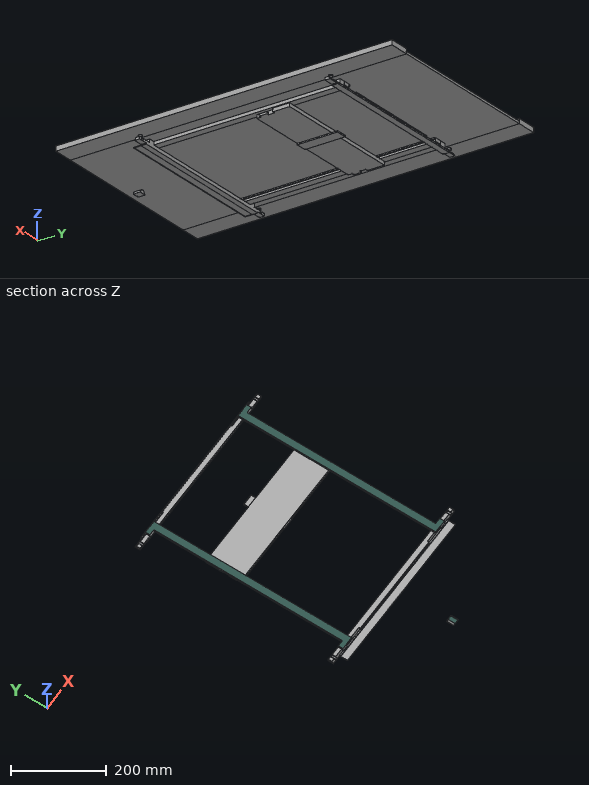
import cadquery as cq

board_width = 509.12
board_length = 863.6
total_height = 32.59

strip_width = 52.0
strip_thickness = 12.7
panel_thickness = 6.35
panel_width = board_width - 2 * strip_width
board_bottom = -strip_thickness

rail_bottom = -20.7
bar_bottom = -27.0
base_bottom = -29.5

rail_inner_x = 152.0
rail_outer_x = 173.0
rail_half_length = 251.0
rail_end_slant = 0.7
rail_lip_width = 3.0
rail_lip_thickness = 3.0

bar_half_length = 224.0
bar_inner_y = 238.0
bar_outer_y = 251.0
bar_bevel = 3.6
bar_middle_left = -124.0
bar_middle_right = 130.0
bar_lip = 2.5
bar_lip_height = 4.0
base_half_length = 200.0

block_inner_x = rail_outer_x
block_outer_x = 188.0

bumper_x = 212.5
bumper_y = (bar_inner_y + bar_outer_y) / 2
bumper_diameter = 9.0
bumper_height = 3.0
notch_width = 5.5
notch_depth = 3.0

flange_front_y = -270.5
flange_thickness = 1.5

housing_back_y = 108.5
housing_step_y = 65.0
housing_front_y = 20.0
housing_back_half_width = rail_outer_x - 3.0
housing_front_half_width = housing_back_half_width - 6.0
housing_boss_y = (30.0, 50.0)
housing_boss_height = 5.0

plate_left = -8.8
plate_right = 19.0
plate_back_y = 123.5

stop_back_y = -390.5
stop_top_front_y = -411.0
stop_bottom_front_y = -408.0
stop_top_width = 6.0
stop_bottom_width = 18.0


def box(x_range, y_range, z_range):
    """Box between two limits along each axis, given in either order."""
    x_min, x_max = sorted(x_range)
    y_min, y_max = sorted(y_range)
    z_min, z_max = sorted(z_range)
    size = (x_max - x_min, y_max - y_min, z_max - z_min)
    return cq.Workplane("XY").box(*size, centered=False).translate((x_min, y_min, z_min))


def make_panel():
    """Thin middle panel with the tapered stop under its front end."""
    half_length = board_length / 2
    panel_top = board_bottom + panel_thickness
    panel = box(
        (-panel_width / 2, panel_width / 2),
        (-half_length, half_length),
        (board_bottom, panel_top),
    )
    top_length = stop_back_y - stop_top_front_y
    bottom_length = stop_back_y - stop_bottom_front_y
    stop = (
        cq.Workplane("XY", origin=(0, 0, rail_bottom))
        .center(0, stop_back_y - bottom_length / 2)
        .rect(stop_bottom_width, bottom_length)
        .workplane(offset=board_bottom - rail_bottom)
        .center(0, (bottom_length - top_length) / 2)
        .rect(stop_top_width, top_length)
        .loft(ruled=True)
    )
    return panel.union(stop)


def make_strip(side):
    """Thick side strip with a round bumper above each end of the crossbars."""
    strip = box(
        (side * panel_width / 2, side * board_width / 2),
        (-board_length / 2, board_length / 2),
        (board_bottom, 0),
    )
    bumpers = (
        cq.Workplane("XY", origin=(0, 0, board_bottom))
        .pushPoints([(side * bumper_x, -bumper_y), (side * bumper_x, bumper_y)])
        .circle(bumper_diameter / 2)
        .extrude(-bumper_height)
    )
    return strip.union(bumpers)


def make_rail(side):
    """Lengthwise rail with slanted ends and a lip along its inner top edge."""
    bottom_half_length = rail_half_length - rail_end_slant
    outline = [
        (-rail_half_length, board_bottom),
        (rail_half_length, board_bottom),
        (bottom_half_length, rail_bottom),
        (-bottom_half_length, rail_bottom),
    ]
    width = rail_outer_x - rail_inner_x - rail_lip_width
    rail = cq.Workplane("YZ").polyline(outline).close().extrude(side * width)
    rail = rail.translate((side * (rail_inner_x + rail_lip_width), 0, 0))
    lip = box(
        (side * rail_inner_x, side * (rail_inner_x + rail_lip_width)),
        (-bottom_half_length, bottom_half_length),
        (board_bottom - rail_lip_thickness, board_bottom),
    )
    return rail.union(lip)


def make_crossbar(end):
    """Crossbar with bevelled arms, a square middle, a base, corner blocks and end notches."""
    arm_outline = [
        (end * bar_inner_y, rail_bottom),
        (end * (bar_outer_y - bar_bevel), rail_bottom),
        (end * bar_outer_y, bar_bottom),
        (end * bar_inner_y, bar_bottom),
    ]
    bar = (
        cq.Workplane("YZ").polyline(arm_outline).close()
        .extrude(bar_half_length, both=True)
    )
    bar_depth = (end * bar_inner_y, end * bar_outer_y)
    bar = bar.union(box((bar_middle_left, bar_middle_right), bar_depth, (rail_bottom, bar_bottom)))
    base_depth = (end * bar_inner_y, end * (bar_outer_y + bar_lip))
    base_top = base_bottom + bar_lip_height
    bar = bar.union(box((-base_half_length, base_half_length), base_depth, (base_bottom, base_top)))
    for side in (-1, 1):
        block_span = (side * block_inner_x, side * block_outer_x)
        bar = bar.union(box(block_span, bar_depth, (board_bottom, bar_bottom)))
        notch_span = (side * bumper_x - notch_width / 2, side * bumper_x + notch_width / 2)
        bar = bar.cut(box(notch_span, bar_depth, (rail_bottom, rail_bottom - notch_depth)))
    return bar


def make_housing():
    """Housing under the rails, stepped in at the front, with low side bosses and a bottom plate."""
    height = (base_bottom, rail_bottom)
    back_span = (-housing_back_half_width, housing_back_half_width)
    front_span = (-housing_front_half_width, housing_front_half_width)
    housing = box(back_span, (housing_step_y, housing_back_y), height)
    housing = housing.union(box(front_span, (housing_front_y, housing_step_y), height))
    boss_height = (base_bottom, base_bottom + housing_boss_height)
    housing = housing.union(box(back_span, housing_boss_y, boss_height))
    plate_span = (plate_left, plate_right)
    plate_depth = (housing_front_y, plate_back_y)
    return housing.union(box(plate_span, plate_depth, (-total_height, base_bottom)))


def make_frame():
    """One-piece frame under the board: rails, crossbars, front flange and housing."""
    frame = make_housing()
    for side in (-1, 1):
        frame = frame.union(make_rail(side))
    for end in (-1, 1):
        frame = frame.union(make_crossbar(end))
    flange = box(
        (-base_half_length, base_half_length),
        (flange_front_y, -bar_inner_y),
        (base_bottom, base_bottom + flange_thickness),
    )
    return frame.union(flange)


panel = make_panel()
strips = [make_strip(side) for side in (-1, 1)]
frame = make_frame()

result = cq.Compound.makeCompound([panel.val(), *[strip.val() for strip in strips], frame.val()])